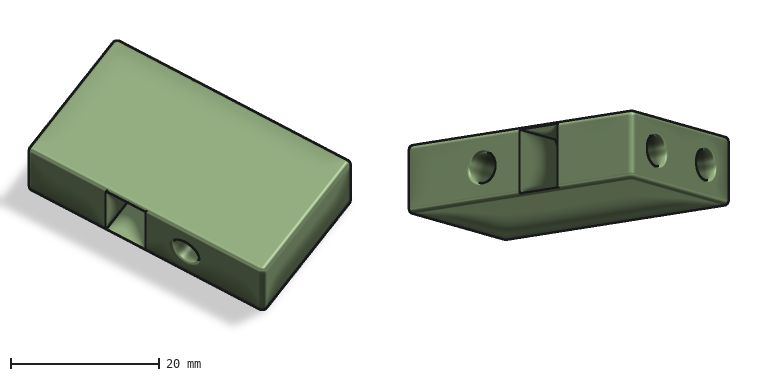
import cadquery as cq
import math

length = 38.1
width = 22.2
height = 9.52
edge_radius = 0.75
mid_height = height / 2

hole_diameter = 4.23
mouth_radius = 0.4
bolt_offset = width / 4
cross_hole_x = length * 2 / 3

slot_start = length / 3
slot_end = length / 2
nut_flats = 8.8
nut_corner_reach = nut_flats / math.sqrt(3)


def make_block():
    block = cq.Workplane("XY").box(length, width, height, centered=False)
    return block.edges().fillet(edge_radius)


def hole_cutter(start, direction, depth):
    axis = cq.Vector(*direction)
    return cq.Solid.makeCylinder(hole_diameter / 2, depth, cq.Vector(*start), axis)


def nut_slot():
    """Slot open at Y = 0, ending in the inner half of a hexagon centred on the bolt axis."""
    shoulder = bolt_offset + nut_corner_reach / 2
    tip = bolt_offset + nut_corner_reach
    bottom = mid_height - nut_flats / 2
    top = mid_height + nut_flats / 2
    outline = [(0, bottom), (shoulder, bottom), (tip, mid_height), (shoulder, top), (0, top)]
    profile = cq.Workplane("YZ", origin=(slot_start, 0, 0)).polyline(outline).close()
    return profile.extrude(slot_end - slot_start)


result = make_block()

for bolt_y in (bolt_offset, width - bolt_offset):
    result = result.cut(hole_cutter((0, bolt_y, mid_height), (1, 0, 0), slot_end))
result = result.faces("<X").edges("%CIRCLE").fillet(mouth_radius)

result = result.cut(hole_cutter((cross_hole_x, 0, mid_height), (0, 1, 0), width))
result = result.faces("<Y or >Y").edges("%CIRCLE").fillet(mouth_radius)

front_slot = nut_slot()
back_slot = front_slot.mirror("XZ").translate((0, width, 0))
result = result.cut(front_slot).cut(back_slot)